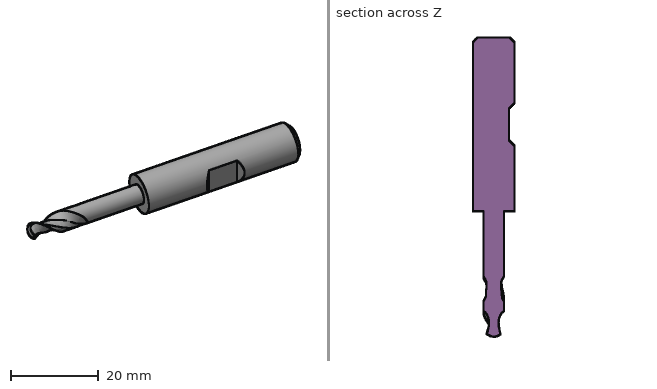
import cadquery as cq
import math

INCH = 25.4

shank_radius = 3 / 8 * INCH / 2
overall_length = (2 + 11 / 16) * INCH
neck_length = (1 + 1 / 8) * INCH
rear_chamfer = 1.1
flat_depth = 1.27
flat_length = 7.2
flat_center = (neck_length + overall_length) / 2

cutter_radius = 3 / 16 * INCH / 2
flute_count = 2
flute_pitch_angle = 360 / flute_count
helix_lead = 17.0
leading_edge_angle = -34.0
land_angle_min = 3.0
land_growth = 8.75
land_start = 3.0
station_spacing = 0.7
flute_start = -0.5
flute_end = 14.1
runout_start = 12.3
runout_lift = 0.25
clearance_radius = 3 * cutter_radius
face_overrun = 1.3

web_profile = [
    (flute_start, 2.0, 120),
    (0.6, 1.66, 105),
    (2.1, 1.23, 80),
    (7.0, 1.25, 78),
    (11.5, 1.92, 78),
    (13.3, 2.15, 62),
    (flute_end, cutter_radius, 45),
]


def web_at(y):
    """Radius and angle of the deepest line, straight between profile points."""
    for (y0, radius0, angle0), (y1, radius1, angle1) in zip(web_profile, web_profile[1:]):
        if y <= y1:
            break
    part = (y - y0) / (y1 - y0)
    return radius0 + (radius1 - radius0) * part, angle0 + (angle1 - angle0) * part


def rim_radius(y):
    """Radius where the flute faces meet the rim, lifted at the rear so the flute ends rounded."""
    part = max(0, y - runout_start) / (flute_end - runout_start)
    return cutter_radius * (1 + runout_lift * part**2)


def polar_point(radius, angle, y):
    """Point at an angle measured from +Z towards +X about the tool axis."""
    turn = math.radians(angle)
    return cq.Vector(radius * math.sin(turn), y, radius * math.cos(turn))


def make_blank():
    """Ball, neck and chamfered shank as one turned body."""
    arc_offset = cutter_radius * math.sqrt(0.5)
    return (
        cq.Workplane("XY")
        .moveTo(0, 0)
        .threePointArc((arc_offset, cutter_radius - arc_offset), (cutter_radius, cutter_radius))
        .lineTo(cutter_radius, neck_length)
        .lineTo(shank_radius, neck_length)
        .lineTo(shank_radius, overall_length - rear_chamfer)
        .lineTo(shank_radius - rear_chamfer, overall_length)
        .lineTo(0, overall_length)
        .close()
        .revolve(360, (0, 0, 0), (0, 1, 0))
    )


def make_flat_cutter():
    """Trapezoidal notch on the +X side with 45 degree ends."""
    notch_height = 2 * flat_depth
    half_length = flat_length / 2
    floor_x = shank_radius - flat_depth
    return (
        cq.Workplane("XY")
        .moveTo(floor_x, flat_center - half_length)
        .lineTo(floor_x + notch_height, flat_center - half_length - notch_height)
        .lineTo(floor_x + notch_height, flat_center + half_length + notch_height)
        .lineTo(floor_x, flat_center + half_length)
        .close()
        .extrude(shank_radius, both=True)
    )


def flute_section(y, start_angle):
    """Closed outline of the material removed by one flute at a distance from the tip."""
    leading = start_angle + 360 * y / helix_lead
    land = land_angle_min + land_growth * max(0, y - land_start)
    trailing = leading + flute_pitch_angle - land
    web_radius, web_angle = web_at(y)
    deepest = polar_point(web_radius, leading + web_angle, y)
    leading_face = polar_point(rim_radius(y), leading, y) - deepest
    trailing_face = polar_point(rim_radius(y), trailing, y) - deepest
    corners = [
        deepest,
        deepest + leading_face * face_overrun,
        polar_point(clearance_radius, (leading + trailing) / 2, y),
        deepest + trailing_face * face_overrun,
    ]
    return cq.Wire.makePolygon(corners, close=True)


def make_flute_cutter(start_angle):
    """Helical flute lofted through evenly spaced sections."""
    intervals = math.ceil((flute_end - flute_start) / station_spacing)
    step = (flute_end - flute_start) / intervals
    sections = [flute_section(flute_start + i * step, start_angle) for i in range(intervals + 1)]
    return cq.Workplane(cq.Solid.makeLoft(sections))


result = make_blank().cut(make_flat_cutter())
for flute in range(flute_count):
    result = result.cut(make_flute_cutter(leading_edge_angle + flute * flute_pitch_angle))